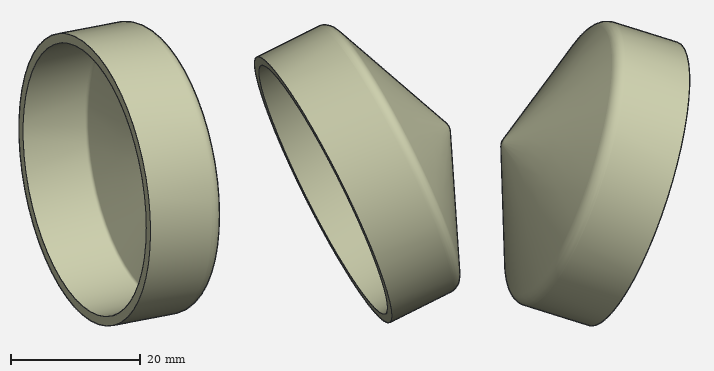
import cadquery as cq
import math


outer_diameter = 46.0
inner_diameter = 43.0
total_height = 22.0
cone_slope = math.radians(23.9)
shoulder_radius = 2.0
tip_radius = 2.0
inner_corner_radius = 0.5
inner_tip_radius = 0.5

wall = (outer_diameter - inner_diameter) / 2
sharp_tip_height = total_height + tip_radius * (1 / math.cos(cone_slope) - 1)
sharp_ceiling_height = sharp_tip_height - wall / math.cos(cone_slope)


def domed_cylinder(radius, sharp_height, corner_radius, top_radius):
    """Solid cylinder with a conical end, rounded at its shoulder and its tip."""
    slope_sin = math.sin(cone_slope)
    slope_cos = math.cos(cone_slope)

    shoulder_center_r = radius - corner_radius
    cone_end_r = shoulder_center_r + corner_radius * slope_sin
    cone_end_y = sharp_height - cone_end_r * math.tan(cone_slope)
    shoulder_center_y = cone_end_y - corner_radius * slope_cos
    middle_angle = (math.pi / 2 - cone_slope) / 2
    shoulder_middle = (
        shoulder_center_r + corner_radius * math.cos(middle_angle),
        shoulder_center_y + corner_radius * math.sin(middle_angle),
    )

    tip_center_y = sharp_height - top_radius / slope_cos
    tip_middle = (
        top_radius * math.sin(cone_slope / 2),
        tip_center_y + top_radius * math.cos(cone_slope / 2),
    )

    return (
        cq.Workplane("XY")
        .lineTo(radius, 0)
        .lineTo(radius, shoulder_center_y)
        .threePointArc(shoulder_middle, (cone_end_r, cone_end_y))
        .lineTo(top_radius * slope_sin, tip_center_y + top_radius * slope_cos)
        .threePointArc(tip_middle, (0, tip_center_y + top_radius))
        .close()
        .revolve(360, (0, 0), (0, 1))
    )


outer_body = domed_cylinder(outer_diameter / 2, sharp_tip_height, shoulder_radius, tip_radius)
cavity = domed_cylinder(
    inner_diameter / 2, sharp_ceiling_height, inner_corner_radius, inner_tip_radius
)
result = outer_body.cut(cavity)